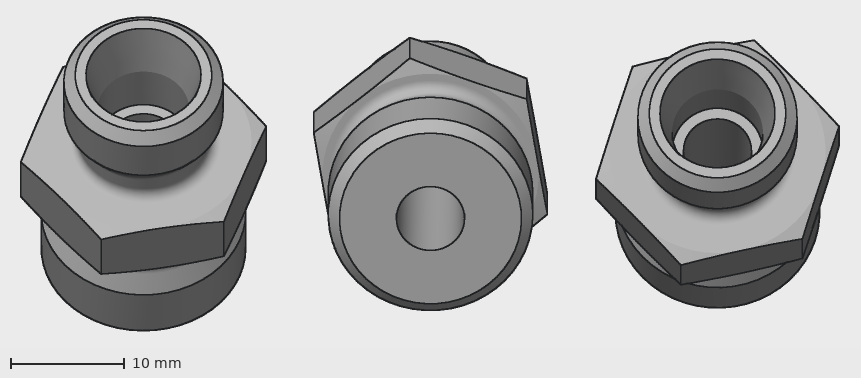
import cadquery as cq
import math

total_height = 27.0
hex_bottom = 11.0
hex_height = 6.0
hex_top = hex_bottom + hex_height

across_flats = 19.0
across_corners = across_flats / math.cos(math.radians(30))
corner_chamfer_angle = 15.0

lower_radius = 18.0 / 2
lower_neck_radius = 15.7 / 2
lower_shoulder = 6.4
upper_radius = 14.0 / 2
upper_neck_radius = 11.7 / 2
upper_shoulder = 21.65
shoulder_angle = 30.0
end_chamfer = 1.0
neck_fillet = 1.0
shoulder_fillet = 1.0

bore_diameter = 6.0
socket_radius = 8.0 / 2
seat_mouth_radius = 10.12 / 2
seat_half_angle = 12.0
socket_depth = 10.0


def make_end(length, outer_radius, neck_radius, shoulder_height):
    """Turned end with its free face at Z = 0 and its neck flaring out at Z = length."""
    taper_end = shoulder_height + (outer_radius - neck_radius) / math.tan(math.radians(shoulder_angle))
    slope = math.radians(shoulder_angle)
    tangent = shoulder_fillet * math.tan(slope / 2)
    blend_start = (neck_radius + tangent * math.sin(slope), taper_end - tangent * math.cos(slope))
    blend_middle = (
        neck_radius + shoulder_fillet * (1 - math.cos(slope / 2)),
        taper_end + tangent - shoulder_fillet * math.sin(slope / 2),
    )
    flare_inset = neck_fillet * (1 - math.cos(math.radians(45)))
    return (
        cq.Workplane("XZ")
        .moveTo(0, 0)
        .lineTo(outer_radius - end_chamfer, 0)
        .lineTo(outer_radius, end_chamfer)
        .lineTo(outer_radius, shoulder_height)
        .lineTo(*blend_start)
        .threePointArc(blend_middle, (neck_radius, taper_end + tangent))
        .lineTo(neck_radius, length - neck_fillet)
        .threePointArc(
            (neck_radius + flare_inset, length - flare_inset),
            (neck_radius + neck_fillet, length),
        )
        .lineTo(0, length)
        .close()
        .revolve(360, (0, 0, 0), (0, 1, 0))
    )


def make_hexagon():
    """Hexagon whose corners are trimmed by a shallow cone on both faces."""
    prism = (
        cq.Workplane("XY")
        .workplane(offset=hex_bottom)
        .polygon(6, across_corners)
        .extrude(hex_height)
        .rotate((0, 0, 0), (0, 0, 1), 30)
    )
    face_radius = across_flats / 2
    corner_radius = across_corners / 2
    drop = (corner_radius - face_radius) * math.tan(math.radians(corner_chamfer_angle))
    envelope = (
        cq.Workplane("XZ")
        .polyline([
            (0, hex_bottom),
            (face_radius, hex_bottom),
            (corner_radius, hex_bottom + drop),
            (corner_radius, hex_top - drop),
            (face_radius, hex_top),
            (0, hex_top),
        ])
        .close()
        .revolve(360, (0, 0, 0), (0, 1, 0))
    )
    return prism.intersect(envelope)


def make_tube_socket():
    """Conical seat narrowing to a straight tube socket below the top face."""
    seat_depth = (seat_mouth_radius - socket_radius) / math.tan(math.radians(seat_half_angle))
    return (
        cq.Workplane("XZ")
        .polyline([
            (0, total_height),
            (seat_mouth_radius, total_height),
            (socket_radius, total_height - seat_depth),
            (socket_radius, total_height - socket_depth),
            (0, total_height - socket_depth),
        ])
        .close()
        .revolve(360, (0, 0, 0), (0, 1, 0))
    )


lower_end = make_end(hex_bottom, lower_radius, lower_neck_radius, lower_shoulder)
upper_end = (
    make_end(total_height - hex_top, upper_radius, upper_neck_radius, total_height - upper_shoulder)
    .rotate((0, 0, 0), (1, 0, 0), 180)
    .translate((0, 0, total_height))
)
bore = cq.Workplane("XY").circle(bore_diameter / 2).extrude(total_height)

result = make_hexagon().union(lower_end).union(upper_end).cut(bore).cut(make_tube_socket())